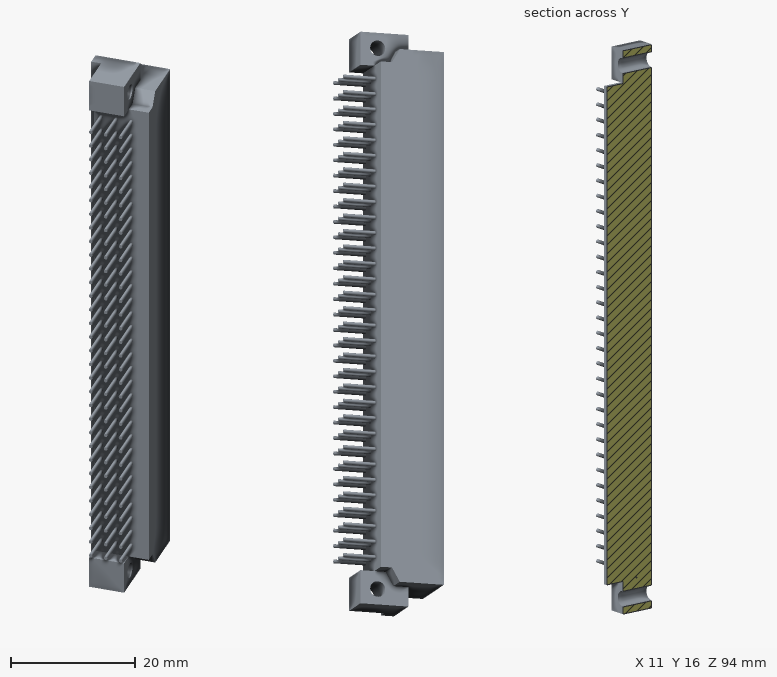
import cadquery as cq


length = 94.0
width = 11.0
pin_tip_depth = 16.0

flange_start = 4.9
lip_depth = 7.05
slope_start = 7.4
slope_end = 8.7
pin_face_depth = 10.6
ear_depth = 13.0

lip_width = 1.7
ear_side = 7.6

body_setback = 3.2
pin_face_setback = 5.45
hole_setback = 2.5

hole_diameter = 2.5
hole_depth = 10.1

pin_diameter = 0.6
pin_pitch = 2.5
pin_columns = 3
pin_rows = 32
pin_root = 0.9

body_half = length / 2 - body_setback
pin_face_half = length / 2 - pin_face_setback


def centered_block(x_start, x_end, depth_start, depth_end, height):
    """Box between two X positions and two depths, centered on Z = 0."""
    return (
        cq.Workplane("XY")
        .box(x_end - x_start, depth_end - depth_start, height, centered=(False, False, True))
        .translate((x_start, -depth_end, 0))
    )


def make_body():
    """Full-width body whose pin side narrows along Z by a slope and a ledge."""
    half_outline = [
        (0, body_half),
        (-slope_start, body_half),
        (-slope_end, pin_face_half),
        (-pin_face_depth, pin_face_half),
    ]
    mirrored_half = [(y, -z) for y, z in reversed(half_outline)]
    block = cq.Workplane("YZ").polyline(half_outline + mirrored_half).close().extrude(width)
    side_step = centered_block(0, lip_width, lip_depth, pin_face_depth, length)
    return block.cut(side_step)


def make_flange():
    """Full-length flange with a side lip and a projecting ear at each end."""
    lip = centered_block(0, ear_side, flange_start, lip_depth, length)
    ears = centered_block(lip_width, ear_side, flange_start, ear_depth, length)
    gap = centered_block(lip_width, ear_side, pin_face_depth, ear_depth, 2 * pin_face_half)
    return lip.union(ears.cut(gap))


def make_mounting_holes():
    """Cylinders running along X through both ears."""
    hole_z = length / 2 - hole_setback
    return (
        cq.Workplane("YZ")
        .pushPoints([(-hole_depth, hole_z), (-hole_depth, -hole_z)])
        .circle(hole_diameter / 2)
        .extrude(width)
    )


def make_pins():
    """Grid of round pins on the pin face, centered across the width."""
    root_depth = pin_face_depth - pin_root
    return (
        cq.Workplane("XZ", origin=(width / 2, -root_depth, 0))
        .rarray(pin_pitch, pin_pitch, pin_columns, pin_rows)
        .circle(pin_diameter / 2)
        .extrude(pin_tip_depth - root_depth)
    )


housing = make_body().union(make_flange()).cut(make_mounting_holes())
result = housing.union(make_pins())